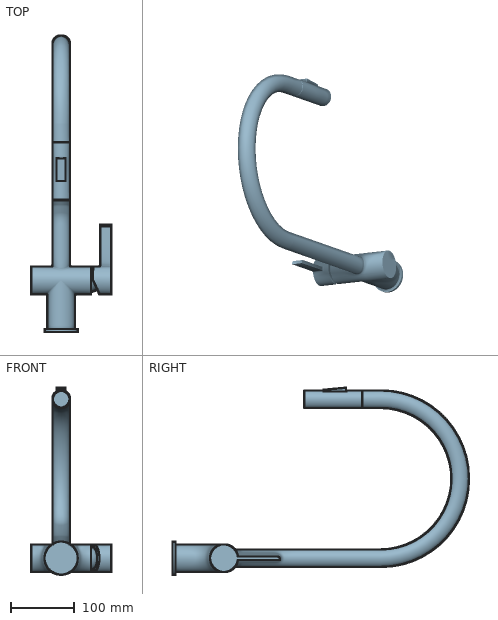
import cadquery as cq
import math


overall_length = 466.0
selection_margin = 0.5

housing_diameter = 44.0
housing_radius = housing_diameter / 2
housing_half_length = 47.0
base_length = 81.0
flange_radius = 26.0
flange_thickness = 5.0
base_fillet = 2.0

dome_radius = 18.0
dome_inset = 2.5
dome_center_x = housing_half_length - dome_inset

tube_radius = 14.0
bend_radius = 125.0
outlet_straight = 28.5
bend_center_y = overall_length - base_length - bend_radius - tube_radius
tube_end_y = bend_center_y - outlet_straight
spout_fillet = 2.0
outlet_z = 2 * bend_radius

spray_length = 92.0
spray_chamfer = 1.0
button_width = 14.0
button_setback = 24.5
button_length = 37.0
button_back_y = tube_end_y - button_setback
button_front_y = button_back_y - button_length
button_high = 18.0
button_low = 15.0
button_back_slant = 1.5

handle_gap = 3.3
handle_start_x = housing_half_length + handle_gap
handle_end_x = 78.8
relief_depth = 10.0
lever_width = 17.5
lever_end_y = 88.0
lever_thickness = 5.5
lever_root_fillet = 2.0
lever_tip_bevel = 3.3


def cylinder_y(radius, start_y, end_y, axis_z=0):
    """Cylinder along Y from start_y down to end_y."""
    return cq.Workplane("XZ", origin=(0, start_y, axis_z)).circle(radius).extrude(start_y - end_y)


def make_dome():
    """Half ball pointing +X: raised on the housing end and recessed into the handle."""
    tip_x = dome_center_x + dome_radius
    mid_offset = dome_radius * math.sqrt(0.5)
    return (
        cq.Workplane("XY")
        .moveTo(dome_center_x, 0)
        .lineTo(tip_x, 0)
        .threePointArc((dome_center_x + mid_offset, -mid_offset), (dome_center_x, -dome_radius))
        .close()
        .revolve(360, (0, 0, 0), (1, 0, 0))
    )


def make_spout_tube():
    """Round bar from the tee centre, round the half-circle bend to the outlet."""
    path = (
        cq.Workplane("YZ")
        .moveTo(0, 0)
        .lineTo(bend_center_y, 0)
        .threePointArc((bend_center_y + bend_radius, bend_radius), (bend_center_y, outlet_z))
        .lineTo(tube_end_y, outlet_z)
    )
    return cq.Workplane("XZ").circle(tube_radius).sweep(path)


def make_faucet_body():
    housing = cq.Workplane("YZ").circle(housing_radius).extrude(housing_half_length, both=True)
    base = cylinder_y(housing_radius, 0, -base_length)
    tee = housing.union(base)
    tee = tee.edges("%ELLIPSE").fillet(base_fillet)
    flange = cylinder_y(flange_radius, flange_thickness - base_length, -base_length)
    body = tee.union(flange).union(make_spout_tube())
    joint = cq.selectors.BoxSelector(
        (-tube_radius - selection_margin, housing_radius / 2, -tube_radius - selection_margin),
        (tube_radius + selection_margin, housing_radius + selection_margin, tube_radius + selection_margin),
    )
    return body.edges(joint).fillet(spout_fillet).union(make_dome())


def make_spray_head():
    head = cylinder_y(tube_radius, tube_end_y, tube_end_y - spray_length, outlet_z)
    head = head.faces("|Y").chamfer(spray_chamfer)
    button = (
        cq.Workplane("YZ")
        .moveTo(button_back_y, outlet_z)
        .lineTo(button_front_y, outlet_z)
        .lineTo(button_front_y, outlet_z + button_low)
        .lineTo(button_back_y - button_back_slant, outlet_z + button_high)
        .close()
        .extrude(button_width / 2, both=True)
    )
    return head.union(button)


def make_handle():
    hub = (
        cq.Workplane("YZ", origin=(handle_start_x, 0, 0))
        .circle(housing_radius)
        .extrude(handle_end_x - handle_start_x)
    )
    relief = (
        cq.Workplane("XY")
        .moveTo(handle_start_x, 0)
        .lineTo(handle_start_x + relief_depth, -housing_radius)
        .lineTo(handle_start_x, -housing_radius)
        .close()
        .extrude(housing_radius, both=True)
    )
    lever = (
        cq.Workplane("YZ", origin=(handle_end_x - lever_width, 0, 0))
        .moveTo(0, -lever_thickness / 2)
        .lineTo(lever_end_y, -lever_thickness / 2)
        .lineTo(lever_end_y, lever_thickness / 2 - lever_tip_bevel)
        .lineTo(lever_end_y - lever_tip_bevel, lever_thickness / 2)
        .lineTo(0, lever_thickness / 2)
        .close()
        .extrude(lever_width)
    )
    levered_hub = hub.cut(relief).union(lever)
    root = cq.selectors.BoxSelector(
        (
            handle_end_x - lever_width - selection_margin,
            housing_radius - selection_margin,
            -lever_thickness / 2 - selection_margin,
        ),
        (
            handle_end_x - selection_margin,
            housing_radius + selection_margin,
            lever_thickness / 2 + selection_margin,
        ),
    )
    levered_hub = levered_hub.edges(root).fillet(lever_root_fillet)
    return levered_hub.cut(make_dome())


faucet_body = make_faucet_body()
spray_head = make_spray_head()
handle = make_handle()

result = cq.Compound.makeCompound([faucet_body.val(), spray_head.val(), handle.val()])